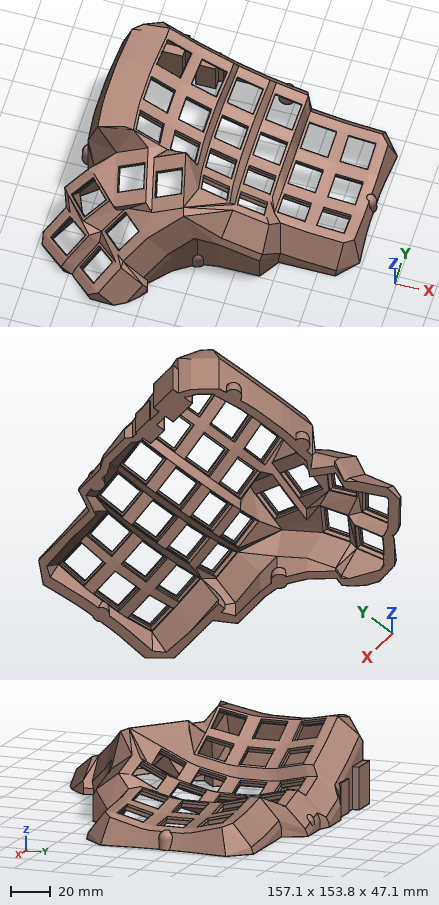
import cadquery as cq
import math


COLUMNS = 6
ROWS = 4
LAST_COLUMN = COLUMNS - 1
LAST_ROW = ROWS - 1
CORNER_ROW = LAST_ROW - 1
LONG_COLUMNS = (2, 3)
LAST_LONG = max(LONG_COLUMNS)
FIRST_LITTLE = LAST_LONG + 1
CENTER_COLUMN = 3
CENTER_ROW = 1

ROW_TILT = 15.0
COLUMN_TILT = 5.0
TENTING = 15.0
BASE_LIFT = 9.0
MIDDLE_FINGER_OFFSET = (0, 2.82, -4.5)
LITTLE_FINGER_OFFSET = (0, -12.0, 5.64)
COLUMN_OFFSETS = {2: MIDDLE_FINGER_OFFSET, 4: LITTLE_FINGER_OFFSET, 5: LITTLE_FINGER_OFFSET}

SWITCH_HOLE = 14.4
PLATE_RIM = 1.5
PLATE_THICKNESS = 4.0
CLIP_UNDERCUT = 1.0
CLIP_LIP = 1.4
HOLE_LENGTH = 3 * PLATE_THICKNESS
MOUNT = SWITCH_HOLE + 2 * PLATE_RIM
HALF = MOUNT / 2

KEYCAP_HEIGHT = 12.7
COLUMN_GAP = 2.5
ROW_GAP = 1.0
CAP_TOP = PLATE_THICKNESS + KEYCAP_HEIGHT
ROW_RADIUS = (MOUNT + ROW_GAP) / 2 / math.sin(math.radians(ROW_TILT / 2)) + CAP_TOP
COLUMN_RADIUS = (MOUNT + COLUMN_GAP) / 2 / math.sin(math.radians(COLUMN_TILT / 2)) + CAP_TOP

DOUBLE_KEY_LENGTH = 37.5
THUMB_EXTENSION = (DOUBLE_KEY_LENGTH - MOUNT) / 3
THUMB_REACH = 1.15
THUMB_HALF = MOUNT / THUMB_REACH
THUMB_OFFSET = (6.0, -3.0, 7.0)

RIM_WIDTH = 4.5
RIM_DROP = 1.0
WALL_BASE = 4.5
WALL_OUT_X = 5.0
WALL_OUT_Y = 6.0
WALL_DROP = 15.0
LEFT_WALL_OUT = 12.0
LEFT_WALL_DROP = 3.0
FLOOR_DEPTH = 10.0
TRIM_SIZE = 400.0

JACK_BOX = (14.78, 13.0, 22.38)
JACK_INSET = 3.1
JACK_CENTER_HEIGHT = 11.0

SOCKET_WALL = 2.0
SOCKET_BLOCK = (6.5 + 2 * SOCKET_WALL, 10.0, 13.6 + 2 * SOCKET_WALL)

BOSS_WALL = 1.6
BOSS_BOTTOM_RADIUS = 5.31 / 2 + BOSS_WALL
BOSS_TOP_RADIUS = 5.1 / 2 + BOSS_WALL
BOSS_HEIGHT = 3.8 + BOSS_WALL
FRONT_BOSS_ROW = LAST_ROW + 0.3
LEFT_BOSS_ROWS = (0, CORNER_ROW)

TOP_LEFT = (-HALF, HALF)
TOP_RIGHT = (HALF, HALF)
BOTTOM_LEFT = (-HALF, -HALF)
BOTTOM_RIGHT = (HALF, -HALF)
THUMB_TOP_LEFT = (-HALF, THUMB_HALF)
THUMB_TOP_RIGHT = (HALF, THUMB_HALF)
THUMB_BOTTOM_LEFT = (-HALF, -THUMB_HALF)
THUMB_BOTTOM_RIGHT = (HALF, -THUMB_HALF)
CENTER = (0, 0)

BACK = (0, 1)
FRONT = (0, -1)
RIGHT = (1, 0)
LEFT = (-1, 0)
FRONT_RIGHT = (1, -1)
MOSTLY_FRONT = (0.5, -1)
MOSTLY_BACK = (-0.3, 1)

SAME_POINT = 1e-4
SAME_PLANE = 1e-5
SMALLEST_NORMAL = 1e-4
ROUNDING_PLACES = 6


def shift(x, y, z):
    return cq.Location(cq.Vector(x, y, z))


def turn(axis, angle):
    return cq.Location(cq.Vector(0, 0, 0), cq.Vector(*axis), angle)


def turn_x(angle):
    return turn((1, 0, 0), angle)


def turn_y(angle):
    return turn((0, 1, 0), angle)


def turn_z(angle):
    return turn((0, 0, 1), angle)


def point_at(place, x, y, z):
    return (place * shift(x, y, z)).toTuple()[0]


def key(column, row):
    """Placement of a finger key: bent along its column, then along its row, then tented."""
    pitch = turn_x(ROW_TILT * (CENTER_ROW - row))
    roll = turn_y(COLUMN_TILT * (CENTER_COLUMN - column))
    along_column = shift(0, 0, ROW_RADIUS) * pitch * shift(0, 0, -ROW_RADIUS)
    along_row = shift(0, 0, COLUMN_RADIUS) * roll * shift(0, 0, -COLUMN_RADIUS)
    offset = shift(*COLUMN_OFFSETS.get(column, (0, 0, 0)))
    return shift(0, 0, BASE_LIFT) * turn_y(TENTING) * offset * along_row * along_column


def left_edge(row, side):
    """Upright placement left of a key: side 1 is its back corner, -1 its front corner, 0 between."""
    x, y, z = point_at(key(0, row), -HALF, side * HALF, 0)
    return shift(x - LEFT_WALL_OUT, y, z - LEFT_WALL_DROP)


def thumb(angles, offset):
    """Placement of a thumb key, measured from the front corner of the second column."""
    origin = point_at(key(1, CORNER_ROW), HALF, -HALF, 0)
    x, y, z = (sum(parts) for parts in zip(origin, THUMB_OFFSET, offset))
    tilt_x, tilt_y, tilt_z = angles
    return shift(x, y, z) * turn_z(tilt_z) * turn_y(tilt_y) * turn_x(tilt_x)


THUMB_TR = thumb((10, -23, 10), (-12, -16, 3))
THUMB_TL = thumb((10, -23, 10), (-32, -15, -2))
THUMB_MR = thumb((-6, -34, 48), (-29, -40, -13))
THUMB_ML = thumb((6, -34, 40), (-51, -25, -12))
THUMB_BR = thumb((-16, -33, 54), (-37.8, -55.3, -25.3))
THUMB_BL = thumb((-4, -35, 52), (-56.3, -43.3, -23.5))
LEFT_FRONT = left_edge(CORNER_ROW, -1)


def subtract(a, b):
    return tuple(p - q for p, q in zip(a, b))


def cross(a, b):
    return (a[1] * b[2] - a[2] * b[1], a[2] * b[0] - a[0] * b[2], a[0] * b[1] - a[1] * b[0])


def dot(a, b):
    return sum(p * q for p, q in zip(a, b))


def unit(a):
    length = math.sqrt(dot(a, a))
    return tuple(p / length for p in a)


def convex_chain(spots):
    """One side of the convex outline of (u, v, point) spots sorted along u."""
    kept = []
    for u, v, point in spots:
        while len(kept) > 1:
            before_u, before_v, _ = kept[-2]
            last_u, last_v, _ = kept[-1]
            turn_left = (last_u - before_u) * (v - before_v) - (last_v - before_v) * (u - before_u)
            if turn_left > SAME_PLANE:
                break
            kept.pop()
        kept.append((u, v, point))
    return [point for _, _, point in kept[:-1]]


def convex_face(points, normal):
    """The convex polygon around coplanar points."""
    u_axis = unit(subtract(points[1], points[0]))
    v_axis = cross(normal, u_axis)
    spots = sorted((round(dot(p, u_axis), ROUNDING_PLACES), dot(p, v_axis), p) for p in points)
    corners = convex_chain(spots) + convex_chain(spots[::-1])
    return cq.Face.makeFromWires(cq.Wire.makePolygon([cq.Vector(*p) for p in corners], close=True))


def without_repeats(points):
    kept = []
    for point in points:
        if all(math.dist(point, other) > SAME_POINT for other in kept):
            kept.append(point)
    return kept


def triples(count):
    return [(i, j, k) for i in range(count) for j in range(i + 1, count) for k in range(j + 1, count)]


def hull(points):
    """The convex solid around the points: every plane through three points with none outside is a face."""
    points = without_repeats(points)
    found = set()
    faces = []
    for i, j, k in triples(len(points)):
        normal = cross(subtract(points[j], points[i]), subtract(points[k], points[i]))
        if math.hypot(*normal) < SMALLEST_NORMAL:
            continue
        normal = unit(normal)
        heights = [dot(normal, subtract(p, points[i])) for p in points]
        if max(heights) > SAME_PLANE and min(heights) < -SAME_PLANE:
            continue
        members = frozenset(n for n, height in enumerate(heights) if abs(height) <= SAME_PLANE)
        if members not in found:
            found.add(members)
            faces.append(convex_face([points[n] for n in sorted(members)], normal))
    return cq.Solid.makeSolid(cq.Shell.makeShell(faces))


def post(place, corner, move=(0, 0, 0)):
    """Top and bottom ends of a corner line through the plate, moved in the placement's own axes."""
    x = corner[0] + move[0]
    y = corner[1] + move[1]
    return [point_at(place, x, y, PLATE_THICKNESS + move[2]), point_at(place, x, y, move[2])]


def posts(*spots):
    return [p for spot in spots for p in post(*spot)]


def web(*spots):
    """A strip of three-cornered slabs, each spanning three consecutive corner lines."""
    return [hull(posts(*three)) for three in zip(spots, spots[1:], spots[2:])]


def rim(dx, dy):
    return (dx * RIM_WIDTH, dy * RIM_WIDTH, -RIM_DROP)


def inner_base(dx, dy):
    return (dx * WALL_OUT_X, dy * WALL_OUT_Y, -WALL_DROP)


def outer_base(dx, dy):
    return (dx * (WALL_OUT_X + WALL_BASE), dy * (WALL_OUT_Y + WALL_BASE), -WALL_DROP)


def base_posts(spot):
    place, corner, direction = spot
    return posts((place, corner, inner_base(*direction)), (place, corner, outer_base(*direction)))


def brim_posts(spot):
    place, corner, direction = spot
    return posts((place, corner), (place, corner, rim(*direction))) + base_posts(spot)


def to_floor(points):
    """The convex solid from the lower ends of the posts straight down through the floor."""
    lower = points[1::2]
    return hull(lower + [(x, y, -FLOOR_DEPTH) for x, y, z in lower])


def wall(start, end):
    """A flared brim between two spots, and the upright wall below it."""
    return [hull(brim_posts(start) + brim_posts(end)), to_floor(base_posts(start) + base_posts(end))]


def path(*spots):
    """Walls between consecutive spots."""
    parts = []
    for start, end in zip(spots, spots[1:]):
        parts += wall(start, end)
    return parts


def back_walls():
    spots = [(left_edge(0, 1), CENTER, LEFT), (left_edge(0, 1), CENTER, BACK)]
    for column in range(COLUMNS):
        spots += [(key(column, 0), TOP_LEFT, BACK), (key(column, 0), TOP_RIGHT, BACK)]
    spots.append((key(LAST_COLUMN, 0), TOP_RIGHT, RIGHT))
    return path(*spots)


def right_walls():
    spots = []
    for row in range(LAST_ROW):
        place = key(LAST_COLUMN, row)
        spots += [(place, TOP_RIGHT, RIGHT), (place, BOTTOM_RIGHT, RIGHT)]
    return path(*spots)


def front_walls():
    spots = [(key(LAST_COLUMN, CORNER_ROW), BOTTOM_RIGHT, RIGHT)]
    for column in range(LAST_COLUMN, LAST_LONG, -1):
        place = key(column, CORNER_ROW)
        spots += [(place, BOTTOM_RIGHT, FRONT), (place, BOTTOM_LEFT, FRONT)]
    long_key = key(LAST_LONG, LAST_ROW)
    return path(*spots) + path(
        (key(FIRST_LITTLE, CORNER_ROW), BOTTOM_LEFT, FRONT_RIGHT),
        (long_key, BOTTOM_RIGHT, MOSTLY_FRONT),
        (long_key, BOTTOM_LEFT, FRONT),
        (THUMB_TR, THUMB_BOTTOM_RIGHT, FRONT),
    )


def left_walls():
    """The left walls and the wide flat strip between them and the first column."""
    wall_spots = []
    key_spots = []
    for row in range(LAST_ROW):
        wall_spots += [(left_edge(row, 1), CENTER, LEFT), (left_edge(row, -1), CENTER, LEFT)]
        key_spots += [(key(0, row), TOP_LEFT), (key(0, row), BOTTOM_LEFT)]
    edge_spots = [(place, corner) for place, corner, _ in wall_spots]
    pairs = list(zip(key_spots, edge_spots))
    strip = [hull(posts(*start, *end)) for start, end in zip(pairs, pairs[1:])]
    return path(*wall_spots) + strip


def thumb_walls():
    return path(
        (THUMB_TR, THUMB_BOTTOM_RIGHT, FRONT),
        (THUMB_MR, BOTTOM_RIGHT, FRONT),
        (THUMB_MR, BOTTOM_LEFT, FRONT),
        (THUMB_BR, BOTTOM_RIGHT, FRONT),
        (THUMB_BR, BOTTOM_LEFT, FRONT),
        (THUMB_BR, BOTTOM_LEFT, LEFT),
        (THUMB_BR, TOP_LEFT, LEFT),
        (THUMB_BL, BOTTOM_LEFT, LEFT),
        (THUMB_BL, TOP_LEFT, LEFT),
        (THUMB_BL, TOP_LEFT, BACK),
        (THUMB_BL, TOP_RIGHT, BACK),
        (THUMB_ML, TOP_LEFT, BACK),
        (THUMB_ML, TOP_RIGHT, MOSTLY_BACK),
    )


def thumb_to_left_wall():
    """Facets closing the gap between the left wall, the first column and the thumb cluster."""
    edge = (LEFT_FRONT, CENTER, LEFT)
    thumb_edge = (THUMB_ML, TOP_RIGHT, MOSTLY_BACK)
    peak = post(THUMB_TL, THUMB_TOP_LEFT)
    edge_top = posts((LEFT_FRONT, CENTER), (LEFT_FRONT, CENTER, rim(*LEFT)))
    last_key = key(0, CORNER_ROW)
    key_edge = posts((last_key, BOTTOM_LEFT), (last_key, BOTTOM_LEFT, rim(*LEFT)))
    return [
        to_floor(base_posts(edge) + base_posts(thumb_edge)),
        hull(base_posts(edge) + base_posts(thumb_edge) + peak),
        hull(brim_posts(edge) + peak),
        hull(edge_top + key_edge + peak),
        hull(brim_posts(thumb_edge) + peak),
    ]


def box(size, center):
    return cq.Workplane("XY").box(*size).translate(center).val()


def plate(length):
    """A switch plate whose hole keeps a thin clip lip at the top and widens below it."""
    body = box((MOUNT, length, PLATE_THICKNESS), (0, 0, PLATE_THICKNESS / 2))
    hole = box((SWITCH_HOLE, SWITCH_HOLE, HOLE_LENGTH), (0, 0, 0))
    wide = SWITCH_HOLE + 2 * CLIP_UNDERCUT
    undercut = box((wide, wide, PLATE_THICKNESS), (0, 0, PLATE_THICKNESS / 2 - CLIP_LIP))
    return body.cut(hole, undercut)


def finger_keys():
    return [(c, r) for c in range(COLUMNS) for r in range(ROWS) if r < LAST_ROW or c in LONG_COLUMNS]


def plates():
    single = plate(MOUNT)
    double = plate(MOUNT + 2 * THUMB_EXTENSION)
    places = [key(c, r) for c, r in finger_keys()] + [THUMB_MR, THUMB_ML, THUMB_BR, THUMB_BL]
    return [single.moved(p) for p in places] + [double.moved(p) for p in (THUMB_TR, THUMB_TL)]


def finger_webs():
    parts = []
    for c in range(COLUMNS):
        for r in range(LAST_ROW):
            here = key(c, r)
            below = key(c, r + 1)
            right = key(c + 1, r)
            diagonal = key(c + 1, r + 1)
            here_front = [(here, BOTTOM_LEFT), (here, BOTTOM_RIGHT)]
            below_back = [(below, TOP_LEFT), (below, TOP_RIGHT)]
            has_right = c < LAST_COLUMN
            has_below = r < CORNER_ROW
            if has_right:
                parts += web((right, TOP_LEFT), (here, TOP_RIGHT), (right, BOTTOM_LEFT), (here, BOTTOM_RIGHT))
            if has_below:
                parts += web(*here_front, *below_back)
            if has_right and has_below:
                parts += web(here_front[1], below_back[1], (right, BOTTOM_LEFT), (diagonal, TOP_LEFT))
    return parts


def thumb_webs():
    tl, tr, ml, mr, bl, br = THUMB_TL, THUMB_TR, THUMB_ML, THUMB_MR, THUMB_BL, THUMB_BR
    parts = web(
        (tl, THUMB_TOP_RIGHT), (tl, THUMB_BOTTOM_RIGHT), (tr, THUMB_TOP_LEFT), (tr, THUMB_BOTTOM_LEFT),
    )
    parts += web((br, TOP_RIGHT), (br, BOTTOM_RIGHT), (mr, TOP_LEFT), (mr, BOTTOM_LEFT))
    parts += web((bl, TOP_RIGHT), (bl, BOTTOM_RIGHT), (ml, TOP_LEFT), (ml, BOTTOM_LEFT))
    parts += web(
        (br, TOP_LEFT), (bl, BOTTOM_LEFT), (br, TOP_RIGHT), (bl, BOTTOM_RIGHT),
        (mr, TOP_LEFT), (ml, BOTTOM_LEFT), (mr, TOP_RIGHT), (ml, BOTTOM_RIGHT),
    )
    parts += web(
        (tl, THUMB_TOP_LEFT), (ml, TOP_RIGHT), (tl, THUMB_BOTTOM_LEFT), (ml, BOTTOM_RIGHT),
        (tl, THUMB_BOTTOM_RIGHT), (mr, TOP_RIGHT), (tr, THUMB_BOTTOM_LEFT), (mr, BOTTOM_RIGHT),
        (tr, THUMB_BOTTOM_RIGHT),
    )
    return parts


def thumb_to_finger_webs():
    tl, tr = THUMB_TL, THUMB_TR
    c0, c1, c2, c3, c4 = (key(c, CORNER_ROW) for c in range(FIRST_LITTLE + 1))
    l2, l3 = (key(c, LAST_ROW) for c in LONG_COLUMNS)
    parts = web(
        (tl, THUMB_TOP_LEFT), (c0, BOTTOM_LEFT), (tl, THUMB_TOP_RIGHT), (c0, BOTTOM_RIGHT),
        (tr, THUMB_TOP_LEFT), (c1, BOTTOM_LEFT), (tr, THUMB_TOP_RIGHT), (c1, BOTTOM_RIGHT),
        (l2, TOP_LEFT),
    )
    parts += web(
        (l2, TOP_LEFT), (tr, THUMB_TOP_RIGHT), (l2, BOTTOM_LEFT),
        (tr, THUMB_BOTTOM_RIGHT), (l2, BOTTOM_RIGHT), (l3, BOTTOM_LEFT), (l2, TOP_RIGHT),
        (l3, TOP_LEFT), (c3, BOTTOM_LEFT), (l3, TOP_RIGHT), (c3, BOTTOM_RIGHT), (c4, BOTTOM_LEFT),
    )
    parts += web(
        (c1, BOTTOM_RIGHT), (l2, TOP_LEFT), (c2, BOTTOM_LEFT), (l2, TOP_RIGHT),
        (c2, BOTTOM_RIGHT), (c3, BOTTOM_LEFT),
    )
    parts += web((l3, TOP_RIGHT), (l3, BOTTOM_RIGHT), (c4, BOTTOM_LEFT))
    return parts


def jack_box():
    x, y, _ = point_at(key(0, 0), 0, HALF + WALL_OUT_Y + WALL_BASE - JACK_INSET, -WALL_DROP)
    return box(JACK_BOX, (x, y, JACK_CENTER_HEIGHT))


def socket_block():
    x, y, _ = point_at(key(1, 0), 0, HALF + WALL_OUT_Y, -WALL_DROP)
    return box(SOCKET_BLOCK, (x, y, SOCKET_BLOCK[2] / 2))


def boss():
    """A slightly tapered post with a round top, standing on the floor."""
    profile = cq.Workplane("XZ").lineTo(BOSS_BOTTOM_RADIUS, 0).lineTo(BOSS_TOP_RADIUS, BOSS_HEIGHT)
    profile = profile.radiusArc((0, BOSS_HEIGHT + BOSS_TOP_RADIUS), -BOSS_TOP_RADIUS).close()
    return profile.revolve(360, (0, 0), (0, 1)).val()


def boss_points():
    points = [point_at(left_edge(row, 0), *outer_base(*LEFT)) for row in LEFT_BOSS_ROWS]
    for column, row, direction in ((3, 0, BACK), (2, FRONT_BOSS_ROW, FRONT), (LAST_COLUMN, 1, RIGHT)):
        dx, dy = direction
        move_x, move_y, move_z = inner_base(dx, dy)
        points.append(point_at(key(column, row), dx * HALF + move_x, dy * HALF + move_y, move_z))
    return points


def bosses():
    return [boss().moved(shift(x, y, 0)) for x, y, _ in boss_points()]


def case():
    parts = plates() + finger_webs() + thumb_webs() + thumb_to_finger_webs()
    parts += back_walls() + right_walls() + front_walls() + left_walls()
    parts += thumb_walls() + thumb_to_left_wall()
    parts += bosses() + [jack_box(), socket_block()]
    joined = parts[0].fuse(*parts[1:])
    above_floor = box((TRIM_SIZE, TRIM_SIZE, TRIM_SIZE), (0, 0, TRIM_SIZE / 2))
    return cq.Workplane(joined.intersect(above_floor).clean())


result = case()